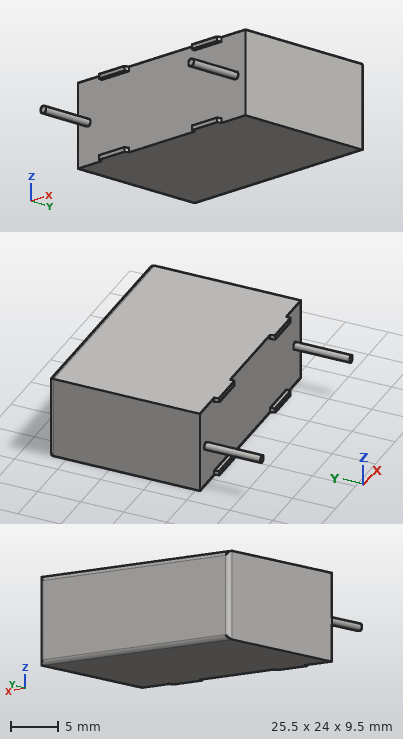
import cadquery as cq

HOUSING_WIDTH = 25.5
HOUSING_DEPTH = 17.5
HOUSING_HEIGHT = 9.5
BACK_EDGE_RADIUS = 0.5

FOOT_WIDTH = 4.15
FOOT_SPACING = 14.1
FOOT_HEIGHT = 0.5
FOOT_PROJECTION = 0.5
FOOT_END_TAPER = 0.15

LEAD_DIAMETER = 0.85
LEAD_SPACING = 22.5
LEAD_LENGTH = 6.5


def make_foot(center_x, bottom_z):
    """Standoff foot whose two ends taper inward toward its tip."""
    base_half = FOOT_WIDTH / 2
    tip_half = base_half - FOOT_END_TAPER
    return (
        cq.Workplane("XY", origin=(center_x, 0, bottom_z))
        .moveTo(-base_half, 0)
        .lineTo(-tip_half, -FOOT_PROJECTION)
        .lineTo(tip_half, -FOOT_PROJECTION)
        .lineTo(base_half, 0)
        .close()
        .extrude(FOOT_HEIGHT)
    )


def make_housing():
    """Box with rounded edges around its back face and four standoff feet in front."""
    housing = (
        cq.Workplane("XY")
        .box(HOUSING_WIDTH, HOUSING_DEPTH, HOUSING_HEIGHT, centered=(True, False, True))
        .faces(">Y")
        .edges()
        .fillet(BACK_EDGE_RADIUS)
    )
    lower_foot_z = -HOUSING_HEIGHT / 2
    upper_foot_z = HOUSING_HEIGHT / 2 - FOOT_HEIGHT
    for center_x in (-FOOT_SPACING / 2, FOOT_SPACING / 2):
        for bottom_z in (lower_foot_z, upper_foot_z):
            housing = housing.union(make_foot(center_x, bottom_z))
    return housing.clean()


def make_lead(center_x):
    """Straight round lead, pointing along -Y from the mounting face."""
    return (
        cq.Workplane("XZ", origin=(center_x, 0, 0))
        .circle(LEAD_DIAMETER / 2)
        .extrude(LEAD_LENGTH)
    )


housing = make_housing()
leads = [make_lead(center_x) for center_x in (-LEAD_SPACING / 2, LEAD_SPACING / 2)]

result = cq.Compound.makeCompound([housing.val(), *[lead.val() for lead in leads]])